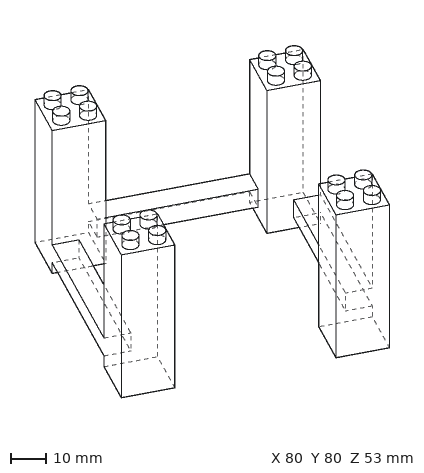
import cadquery as cq

side = 80.0
total_height = 53.0
stud_height = 3.2
stud_diameter = 4.9
stud_pitch = 8.0
post_width = 2 * stud_pitch
beam_width = post_width / 2
beam_bottom = 3.8
beam_height = 6.2

post_height = total_height - stud_height
post_offset = (side - post_width) / 2
beam_offset = (side - beam_width) / 2
beam_length = 2 * post_offset


def make_post(x, y):
    """Square post with a two-by-two group of studs on top."""
    post = cq.Workplane("XY").rect(post_width, post_width).extrude(post_height)
    studs = (
        cq.Workplane("XY")
        .workplane(offset=post_height)
        .rarray(stud_pitch, stud_pitch, 2, 2)
        .circle(stud_diameter / 2)
        .extrude(stud_height)
    )
    return post.union(studs).translate((x, y, 0))


def make_beam(x, y, size_x, size_y):
    """Rectangular beam raised above the feet of the posts."""
    beam = cq.Workplane("XY").rect(size_x, size_y).extrude(beam_height)
    return beam.translate((x, y, beam_bottom))


result = make_beam(-beam_offset, 0, beam_width, beam_length)
for y_side in (-1, 1):
    result = result.union(make_beam(0, y_side * beam_offset, beam_length, beam_width))

for x_side in (-1, 1):
    for y_side in (-1, 1):
        result = result.union(make_post(x_side * post_offset, y_side * post_offset))